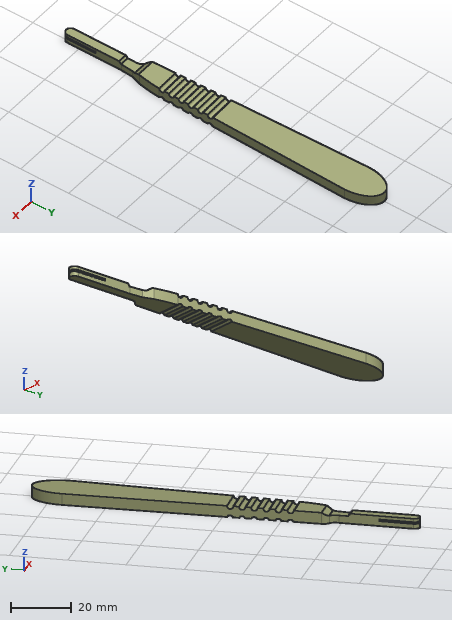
import cadquery as cq

length = 133.2
thickness = 4.0

butt_width = 13.6
butt_center_x = 0.8
butt_start_y = 121.5
butt_right_x = butt_center_x + butt_width / 2

grip_left = (-4.3, 32.8)
grip_right = (4.9, 42.4)

left_shoulder_mid = (-3.9, 31.3)
left_shoulder_end = (-2.9, 30.4)
left_hollow_mid = (-2.1, 29.3)
right_shoulder_mid = (4.4, 37.6)
right_shoulder_end = (3.6, 33.2)
right_neck_start = (2.3, 29.3)
right_neck_end_y = 24.2

tang_width = 3.7
tang_half = tang_width / 2
tang_shoulder_y = 27.5
tang_top_z = 3.6

step_floor_z = 2.7
rear_ramp_top_y = 32.8
rear_ramp_foot_y = 30.5
front_ramp_foot_y = 24.2
front_ramp_top_y = 23.5

slot_length = 13.6
slot_bottom_z = 1.7
slot_height = 0.7
web_width = 0.8

groove_count = 6
first_groove_y = 43.4
groove_pitch = 4.1
groove_radius = 1.0
top_groove_depth = 1.0
bottom_groove_depth = 0.7
groove_tilt = 1.2
groove_length = 2 * butt_width


def make_body():
    """Flat handle outline, extruded to full thickness."""
    return (
        cq.Workplane("XY")
        .moveTo(-tang_half, tang_half)
        .threePointArc((0, 0), (tang_half, tang_half))
        .lineTo(tang_half, right_neck_end_y)
        .lineTo(*right_neck_start)
        .lineTo(*right_shoulder_end)
        .threePointArc(right_shoulder_mid, grip_right)
        .lineTo(butt_right_x, butt_start_y)
        .ellipseArc(
            butt_width / 2, length - butt_start_y, 0, 180, startAtCurrent=True
        )
        .lineTo(*grip_left)
        .threePointArc(left_shoulder_mid, left_shoulder_end)
        .threePointArc(left_hollow_mid, (-tang_half, tang_shoulder_y))
        .close()
        .extrude(thickness)
    )


def make_step_cutter():
    """Material removed above the neck and tang, as a side profile swept across X."""
    return (
        cq.Workplane("YZ")
        .polyline([
            (0, thickness),
            (0, tang_top_z),
            (front_ramp_top_y, tang_top_z),
            (front_ramp_foot_y, step_floor_z),
            (rear_ramp_foot_y, step_floor_z),
            (rear_ramp_top_y, thickness),
        ])
        .close()
        .extrude(2 * butt_width)
        .translate((-butt_width, 0, 0))
    )


def make_slot_cutter(side):
    """Slot open at the tip and at one side of the tang; side is -1 or 1."""
    return (
        cq.Workplane("XY")
        .box(tang_half, slot_length, slot_height, centered=(True, False, False))
        .translate((side * (web_width + tang_half) / 2, 0, slot_bottom_z))
    )


def make_groove_cutter(y, axis_z):
    """Cylinder lying across the grip, turned slightly about Z."""
    return (
        cq.Workplane("YZ")
        .circle(groove_radius)
        .extrude(groove_length)
        .translate((-groove_length / 2, 0, 0))
        .rotate((0, 0, 0), (0, 0, 1), groove_tilt)
        .translate((0, y, axis_z))
    )


result = make_body().cut(make_step_cutter())

for side in (-1, 1):
    result = result.cut(make_slot_cutter(side))

top_groove_axis_z = thickness - top_groove_depth + groove_radius
bottom_groove_axis_z = bottom_groove_depth - groove_radius
for index in range(groove_count):
    groove_y = first_groove_y + index * groove_pitch
    result = result.cut(make_groove_cutter(groove_y, top_groove_axis_z))
    result = result.cut(make_groove_cutter(groove_y, bottom_groove_axis_z))